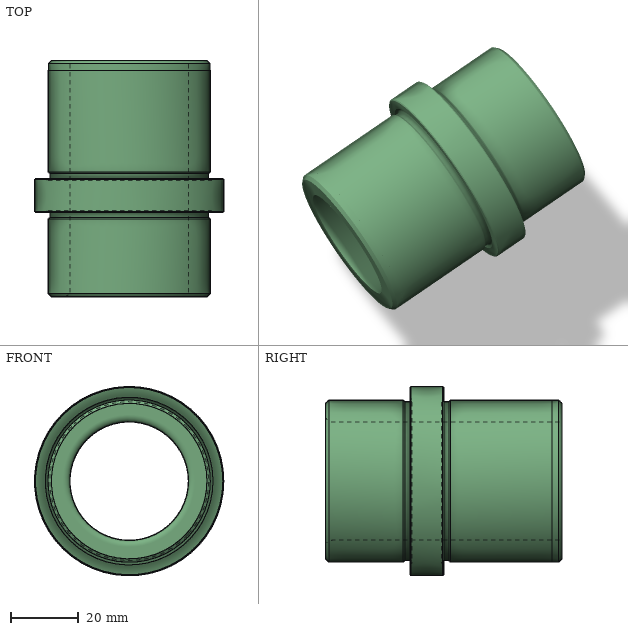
import cadquery as cq
import math

front_length = 25.0
collar_width = 10.0
back_length = 35.0
body_diameter = 48.0
collar_diameter = 56.0
bore_diameter = 35.0

bore_rounding = 2.0
end_chamfer = 1.0
collar_chamfer = 0.3

groove_width = 2.0
groove_depth = 0.5
groove_chamfer = 0.5

undercut_corner_radius = 0.5
undercut_rim_radius = 24.8
undercut_slope = 45.0

pilot_length = 3.0
pilot_diameter = 47.95

collar_front = 0
front_end = collar_front - front_length
collar_back = collar_front + collar_width
back_end = collar_back + back_length

body_radius = body_diameter / 2
collar_radius = collar_diameter / 2
bore_radius = bore_diameter / 2
pilot_radius = pilot_diameter / 2


def revolve_about_axis(profile):
    """Full turn of a closed XY profile about the Y axis."""
    return profile.revolve(360, (0, 0, 0), (0, 1, 0))


def cylinder(radius, start, end):
    """Solid cylinder on the Y axis between two stations."""
    return cq.Workplane("XZ", origin=(0, start, 0)).circle(radius).extrude(start - end)


def make_body():
    """Plain cylinder with chamfered ends and the reduced pilot at the back."""
    main = cylinder(body_radius, front_end, back_end - pilot_length)
    main = main.faces("<Y").chamfer(end_chamfer)
    pilot = cylinder(pilot_radius, back_end - pilot_length, back_end)
    return main.union(pilot.faces(">Y").chamfer(end_chamfer))


def groove_cutter(collar_face, outward):
    """Ring that cuts a relief groove and undercuts the adjoining collar face."""
    floor_radius = body_radius - groove_depth
    slope = math.radians(undercut_slope)
    corner_centre_radius = floor_radius + undercut_corner_radius
    cone_radius = corner_centre_radius + undercut_corner_radius * math.sin(slope)
    cone_depth = (undercut_rim_radius - cone_radius) * math.tan(slope)
    corner_centre_depth = cone_depth - undercut_corner_radius * math.cos(slope)

    def point(radius, depth):
        """Profile point; depth is measured from the collar face into the collar."""
        return radius, collar_face - outward * depth

    profile = (
        cq.Workplane("XY")
        .moveTo(*point(floor_radius, groove_chamfer - groove_width))
        .lineTo(*point(floor_radius, corner_centre_depth))
        .threePointArc(
            point(corner_centre_radius, corner_centre_depth + undercut_corner_radius),
            point(cone_radius, cone_depth),
        )
        .lineTo(*point(undercut_rim_radius, 0))
        .lineTo(*point(undercut_rim_radius, -groove_width))
        .lineTo(*point(body_radius, -groove_width))
        .close()
    )
    return revolve_about_axis(profile)


def make_collar():
    """Locating collar with lightly broken edges."""
    return cylinder(collar_radius, collar_front, collar_back).edges().chamfer(collar_chamfer)


def make_bore():
    """Through bore, widened by a rounded mouth at the front."""
    hole = cylinder(bore_radius, front_end, back_end)
    mouth_radius = bore_radius + bore_rounding
    mouth = (
        cq.Workplane("XY")
        .moveTo(0, front_end)
        .lineTo(mouth_radius, front_end)
        .radiusArc((bore_radius, front_end + bore_rounding), bore_rounding)
        .lineTo(0, front_end + bore_rounding)
        .close()
    )
    return hole.union(revolve_about_axis(mouth))


result = (
    make_body()
    .union(make_collar())
    .cut(groove_cutter(collar_front, -1))
    .cut(groove_cutter(collar_back, 1))
    .cut(make_bore())
)